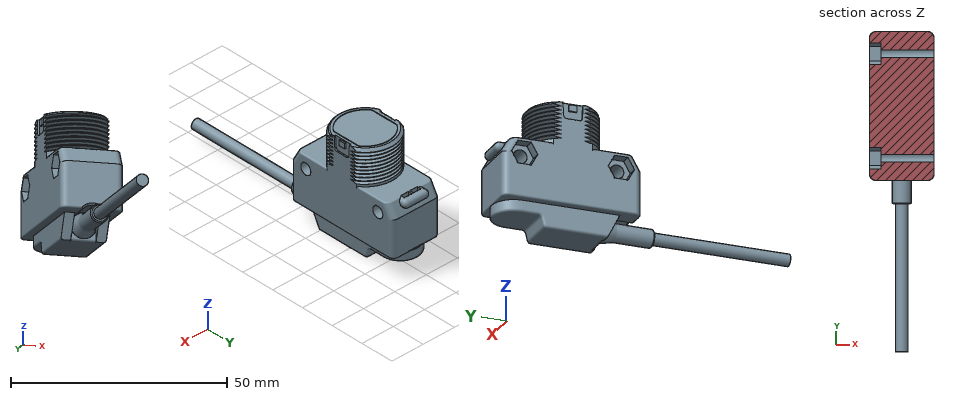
import cadquery as cq
import math


HOUSING_WIDTH = 15.0
HOUSING_LENGTH = 34.55
HOUSING_BOTTOM = 5.9
HOUSING_TOP = 20.7
END_SLOPE_RUN = 2.1
END_SLOPE_RISE = 3.65
CORNER_RADIUS = 1.65
TOP_EDGE_RADIUS = 0.45
BOTTOM_EDGE_RADIUS = 0.45

NECK_TOP = 31.1
NECK_RADIUS = 8.95
NECK_CHAMFER = 0.75
THREAD_PITCH = 1.0
THREAD_ROOT_RADIUS = 8.05
THREAD_START = 21.65
THREAD_TURNS = 9
THREAD_GAP = 0.1
GROOVE_OVERSHOOT = 0.15

LENS_RADIUS = 7.5
LENS_WIDTH = 12.4
LENS_DEPTH = 0.15
TONGUE_WIDTH = 5.1
TONGUE_BOTTOM_WIDTH = 4.6
TONGUE_BOTTOM = 27.2
TONGUE_DEPTH = 0.45
TONGUE_RADIUS = 0.75
LATCH_WIDTH = 1.95
LATCH_BOTTOM = 29.2
LATCH_TOP = 30.75

HOLE_SPACING = 24.2
HOLE_HEIGHT = 17.0
HOLE_DIAMETER = 3.35
NUT_ACROSS_FLATS = 5.7
NUT_DEPTH = 2.7

NOSE_WIDTH = 7.9
NOSE_TIP = 17.75
NOSE_HEIGHT = 2.3
NOSE_RADIUS = 1.1
NOSE_INNER_END = 14.7
WINDOW_WIDTH = 2.4
WINDOW_RIB = 0.5
WINDOW_OUTER = 15.9
WINDOW_DEPTH = 2.1

BASE_WIDTH = 11.0
BASE_SHELF = 3.05
BASE_STEP_TOP = 6.95
BASE_STEP_BOTTOM = 6.2
BASE_STEP_RADIUS = 0.9
BASE_TOE = -9.5
BASE_HEEL = -12.55
BASE_EDGE_RADIUS = 0.6

CABLE_HEIGHT = 3.65
CABLE_DIAMETER = 3.0
CABLE_END = -56.9
SLEEVE_DIAMETER = 4.5
SLEEVE_END = -22.7
SLEEVE_CHAMFER = 0.3
FLARE_START = -13.2
FLARE_RADIUS = 3.05
ARCH_RADIUS = 3.2
ARCH_MOUTH_CHAMFER = 0.45

HALF_WIDTH = HOUSING_WIDTH / 2
HALF_LENGTH = HOUSING_LENGTH / 2


def y_cylinder(radius, start, end):
    """Round bar on the cable axis between two Y positions, start > end."""
    plane = cq.Plane(origin=(0, start, CABLE_HEIGHT), xDir=(1, 0, 0), normal=(0, -1, 0))
    return cq.Workplane(plane).circle(radius).extrude(start - end)


def make_block():
    """Housing block with sloped, rounded ends and the arch over the sleeve."""
    slope_bottom = HOUSING_TOP - END_SLOPE_RISE
    top_end = HALF_LENGTH - END_SLOPE_RUN
    block = (
        cq.Workplane("YZ")
        .polyline([
            (-HALF_LENGTH, HOUSING_BOTTOM),
            (HALF_LENGTH, HOUSING_BOTTOM),
            (HALF_LENGTH, slope_bottom),
            (top_end, HOUSING_TOP),
            (-top_end, HOUSING_TOP),
            (-HALF_LENGTH, slope_bottom),
        ])
        .close()
        .extrude(HALF_WIDTH, both=True)
    )
    end_edges = cq.selectors.BoxSelector(
        (-HOUSING_WIDTH, -HOUSING_LENGTH, HOUSING_BOTTOM + 0.75),
        (HOUSING_WIDTH, HOUSING_LENGTH, HOUSING_TOP - 0.75),
    )
    block = block.edges(end_edges).edges("not |X").fillet(CORNER_RADIUS)
    block = block.faces(">Z").edges().fillet(TOP_EDGE_RADIUS)
    block = block.faces("<Z").edges().fillet(BOTTOM_EDGE_RADIUS)
    arch = y_cylinder(ARCH_RADIUS, BASE_TOE, -HALF_LENGTH)
    mouth = (
        cq.Workplane("XZ", origin=(0, -HALF_LENGTH, CABLE_HEIGHT))
        .circle(ARCH_RADIUS + ARCH_MOUTH_CHAMFER)
        .workplane(offset=-ARCH_MOUTH_CHAMFER)
        .circle(ARCH_RADIUS)
        .loft()
    )
    return block.cut(arch).cut(mouth)


def make_thread_grooves():
    """Half-turn V-grooves that join into one right-hand helix across the flats."""
    half_mouth = (THREAD_PITCH - THREAD_GAP) / 2
    mouth_radius = NECK_RADIUS + GROOVE_OVERSHOOT
    half_turn = cq.Wire.makeHelix(THREAD_PITCH, THREAD_PITCH / 2, THREAD_ROOT_RADIUS)
    back_groove = (
        cq.Workplane("XZ")
        .polyline([
            (THREAD_ROOT_RADIUS, 0),
            (mouth_radius, half_mouth),
            (mouth_radius, -half_mouth),
        ])
        .close()
        .sweep(cq.Workplane(half_turn), isFrenet=True)
    )
    front_groove = back_groove.rotate((0, 0, 0), (0, 0, 1), 180).translate((0, 0, THREAD_PITCH / 2))
    grooves = []
    for turn in range(THREAD_TURNS):
        lift = (0, 0, THREAD_START + turn * THREAD_PITCH)
        grooves.append(back_groove.translate(lift))
        grooves.append(front_groove.translate(lift))
    return grooves


def make_neck():
    """Threaded neck with two flats that run flush into the housing sides."""
    neck_height = NECK_TOP - HOUSING_TOP + TOP_EDGE_RADIUS
    flats = cq.Workplane("XY").box(HOUSING_WIDTH, 2 * HOUSING_LENGTH, 2 * NECK_TOP + 0.75)
    neck = (
        cq.Workplane("XY", origin=(0, 0, NECK_TOP - neck_height))
        .circle(NECK_RADIUS)
        .extrude(neck_height)
        .faces(">Z")
        .chamfer(NECK_CHAMFER)
        .intersect(flats)
    )
    for groove in make_thread_grooves():
        neck = neck.cut(groove)
    lens = (
        cq.Workplane("XY", origin=(0, 0, NECK_TOP - LENS_DEPTH))
        .circle(LENS_RADIUS)
        .extrude(LENS_DEPTH)
        .intersect(cq.Workplane("XY").box(LENS_WIDTH, HOUSING_LENGTH, 2 * NECK_TOP + 0.75))
    )
    return neck.cut(lens)


def make_tongue_recess(side):
    """Recess in the flat at X = side * HALF_WIDTH, leaving a square latch standing in it."""
    tongue = (
        cq.Workplane("YZ", origin=(side * HALF_WIDTH, 0, 0))
        .polyline([
            (-TONGUE_WIDTH / 2, NECK_TOP),
            (-TONGUE_BOTTOM_WIDTH / 2, TONGUE_BOTTOM),
            (TONGUE_BOTTOM_WIDTH / 2, TONGUE_BOTTOM),
            (TONGUE_WIDTH / 2, NECK_TOP),
        ])
        .close()
        .extrude(-side * TONGUE_DEPTH)
        .edges("|X and <Z")
        .fillet(TONGUE_RADIUS)
    )
    latch_height = LATCH_TOP - LATCH_BOTTOM
    latch = (
        cq.Workplane("YZ", origin=(side * HALF_WIDTH, 0, LATCH_BOTTOM + latch_height / 2))
        .rect(LATCH_WIDTH, latch_height)
        .extrude(-side * TONGUE_DEPTH)
    )
    return tongue.cut(latch)


def make_mounting_hole(y):
    """Through hole along X with a nut pocket sunk from the -X side."""
    start = cq.Workplane("YZ", origin=(-HALF_WIDTH, y, HOLE_HEIGHT))
    hole = start.circle(HOLE_DIAMETER / 2).extrude(HOUSING_WIDTH)
    nut_across_corners = NUT_ACROSS_FLATS / math.cos(math.radians(30))
    return hole.union(start.polygon(6, nut_across_corners).extrude(NUT_DEPTH))


def make_nose():
    """Indicator nose at the top of the +Y end, rounded at its tip and both sides."""
    nose_length = NOSE_TIP - NOSE_INNER_END
    return (
        cq.Workplane("XY")
        .box(NOSE_WIDTH, nose_length, NOSE_HEIGHT)
        .edges("not <Y")
        .fillet(NOSE_RADIUS)
        .translate((0, NOSE_TIP - nose_length / 2, HOUSING_TOP - NOSE_HEIGHT / 2))
    )


def make_window(side):
    """Sloped indicator window, one on each side of the middle rib."""
    center = side * (WINDOW_RIB + WINDOW_WIDTH) / 2
    return (
        cq.Workplane("YZ", origin=(center, 0, 0))
        .polyline([
            (WINDOW_OUTER, HOUSING_TOP),
            (NOSE_INNER_END, HOUSING_TOP),
            (NOSE_INNER_END, HOUSING_TOP - WINDOW_DEPTH),
        ])
        .close()
        .extrude(WINDOW_WIDTH / 2, both=True)
    )


def make_base():
    """Stepped base with a round +Y end and a channel for the flared sleeve."""
    profile = (
        cq.Workplane("YZ")
        .polyline([
            (HALF_LENGTH, HOUSING_BOTTOM),
            (HALF_LENGTH, BASE_SHELF),
            (BASE_STEP_TOP, BASE_SHELF),
            (BASE_STEP_BOTTOM, 0),
            (BASE_TOE, 0),
            (BASE_HEEL, HOUSING_BOTTOM),
        ])
        .close()
        .extrude(BASE_WIDTH / 2, both=True)
    )
    step_edges = cq.selectors.BoxSelector(
        (-BASE_WIDTH, BASE_STEP_BOTTOM - 0.4, -0.75),
        (BASE_WIDTH, BASE_STEP_TOP + 0.4, BASE_SHELF + 0.75),
    )
    profile = profile.edges(step_edges).edges("|X").fillet(BASE_STEP_RADIUS)
    end_radius = BASE_WIDTH / 2
    plan = (
        cq.Workplane("XY")
        .moveTo(-end_radius, -HALF_LENGTH)
        .lineTo(end_radius, -HALF_LENGTH)
        .lineTo(end_radius, HALF_LENGTH - end_radius)
        .threePointArc((0, HALF_LENGTH), (-end_radius, HALF_LENGTH - end_radius))
        .close()
        .extrude(HOUSING_BOTTOM)
    )
    base = profile.intersect(plan)
    underside_rim = cq.selectors.BoxSelector(
        (-BASE_WIDTH, BASE_TOE - 0.4, -0.75),
        (BASE_WIDTH, HOUSING_LENGTH, BASE_SHELF + 0.4),
    )
    base = base.edges(underside_rim).edges("not |X").edges("not |Z").fillet(BASE_EDGE_RADIUS)
    channel = (
        cq.Workplane("XY")
        .rect(2 * FLARE_RADIUS, HOUSING_LENGTH)
        .extrude(HOUSING_BOTTOM)
        .translate((0, BASE_TOE - HALF_LENGTH, 0))
    )
    base = base.cut(channel)
    channel_sill = cq.selectors.BoxSelector(
        (-0.75, BASE_TOE - 0.75, -0.75),
        (0.75, BASE_TOE + 0.75, 0.75),
    )
    return base.edges(channel_sill).edges("|X").fillet(BASE_EDGE_RADIUS)


def make_sleeve():
    """Cable sleeve that flares out where it joins the base."""
    sleeve_radius = SLEEVE_DIAMETER / 2
    return (
        cq.Workplane("XY")
        .polyline([
            (0, BASE_TOE),
            (FLARE_RADIUS, BASE_TOE),
            (sleeve_radius, FLARE_START),
            (sleeve_radius, SLEEVE_END + SLEEVE_CHAMFER),
            (sleeve_radius - SLEEVE_CHAMFER, SLEEVE_END),
            (0, SLEEVE_END),
        ])
        .close()
        .revolve(360, (0, 0, 0), (0, 1, 0))
        .translate((0, 0, CABLE_HEIGHT))
    )


def make_housing():
    """Housing with its neck, nose, base and sleeve in one solid."""
    housing = make_block().union(make_nose()).union(make_base()).union(make_sleeve())
    housing = housing.union(make_neck())
    for side in (-1, 1):
        housing = housing.cut(make_tongue_recess(side))
        housing = housing.cut(make_window(side))
        housing = housing.cut(make_mounting_hole(side * HOLE_SPACING / 2))
    return housing


def make_cable():
    """Cable that starts at the end face of the sleeve."""
    return y_cylinder(CABLE_DIAMETER / 2, SLEEVE_END, CABLE_END)


housing = make_housing()
cable = make_cable()

result = cq.Compound.makeCompound([housing.val(), cable.val()])